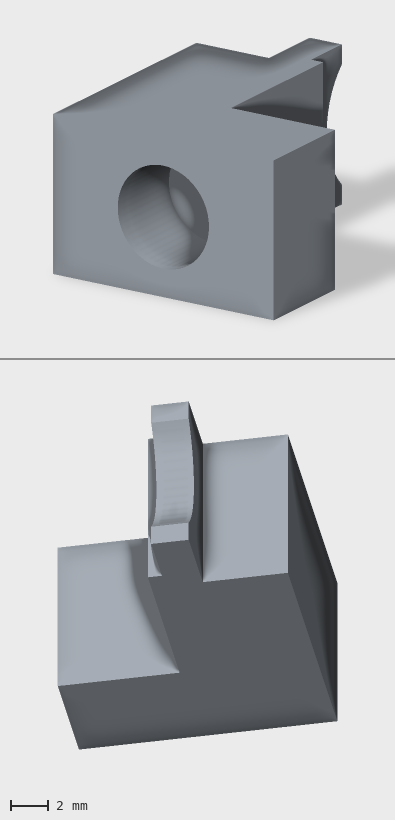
import cadquery as cq

width = 14.0
length = 18.0
height = 9.0

foot_length = 6.0
leg_width = 7.4
leg_length = 14.0

tab_left = 4.6
tab_right = 6.65
tab_shoulder = 15.0

notch_radius = 4.6
notch_depth = 1.48

bore_diameter = 5.8
bore_depth = 5.0


def make_body():
    """L-shaped plan with a narrow tab, extruded to the full height."""
    outline = [
        (0, 0),
        (width, 0),
        (width, foot_length),
        (leg_width, foot_length),
        (leg_width, tab_shoulder),
        (tab_right, tab_shoulder),
        (tab_right, length),
        (tab_left, length),
        (tab_left, leg_length),
        (0, leg_length),
    ]
    return cq.Workplane("XY").polyline(outline).close().extrude(height)


def make_notch():
    """Cylinder along X, centred beyond the tab end at mid height."""
    centre_y = length - notch_depth + notch_radius
    return cq.Workplane("YZ").center(centre_y, height / 2).circle(notch_radius).extrude(width)


def make_bore():
    """Cylinder along Y, centred on the front face."""
    return cq.Workplane("XZ").center(width / 2, height / 2).circle(bore_diameter / 2).extrude(-bore_depth)


result = make_body().cut(make_notch()).cut(make_bore())